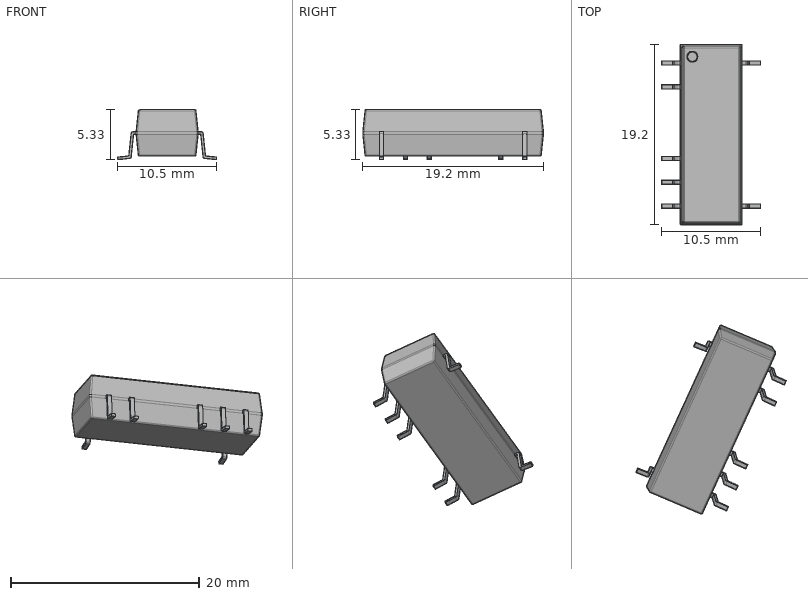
import cadquery as cq
import math

BODY_LENGTH = 19.18
BODY_WIDTH = 6.6
BODY_TOP = 5.33
BODY_BOTTOM = 0.38
DRAFT_ANGLE = 6.0
EDGE_RADIUS = 0.15
BEVEL_SIZE = 0.15

LEAD_THICKNESS = 0.29
LEAD_WIDTH = 0.46
LEAD_TOP = 2.97
LEAD_SPAN = 10.53
LEAD_TILT = 6.0
FOOT_LENGTH = 1.19
BEND_RADIUS = 0.21
LEAD_EMBED = 0.38
LEAD_PITCH = 2.53
LEFT_LEAD_STEPS = (-3, -2, -1, 2, 3)
RIGHT_LEAD_STEPS = (-3, 3)

MARK_X = -2.0
MARK_Y = 8.27
MARK_RADIUS = 0.58
MARK_FLOOR_RADIUS = 0.5
MARK_DEPTH = 0.08

LEAD_BOTTOM = LEAD_TOP - LEAD_THICKNESS


def body_slab(base_z, height, taper):
    """Plain rectangle extruded from base_z; negative height goes down."""
    base = cq.Workplane("XY", origin=(0, 0, base_z)).rect(BODY_WIDTH, BODY_LENGTH)
    return base.extrude(height, taper=taper)


def make_body():
    upper = body_slab(LEAD_TOP, BODY_TOP - LEAD_TOP, DRAFT_ANGLE)
    upper = upper.edges(">Z and |Y").edges("<X").chamfer(BEVEL_SIZE)
    right_rim = upper.edges(">Z and |Y").edges(">X")
    upper = upper.edges("(not <Z) and (not |Y)").add(right_rim).fillet(EDGE_RADIUS)
    lower = body_slab(LEAD_BOTTOM, BODY_BOTTOM - LEAD_BOTTOM, DRAFT_ANGLE)
    lower = lower.edges("not >Z").fillet(EDGE_RADIUS)
    band = body_slab(LEAD_BOTTOM, LEAD_THICKNESS, 0).edges("|Z").fillet(EDGE_RADIUS)
    return upper.union(band).union(lower)


def make_lead():
    """Lead on the +X side, centred on Y = 0, with the foot's toe at Z = 0."""
    tilt = math.radians(LEAD_TILT)
    sine = math.sin(tilt)
    cosine = math.cos(tilt)
    toe_top = (LEAD_SPAN / 2, LEAD_THICKNESS * cosine)
    toe_bottom = (LEAD_SPAN / 2 - LEAD_THICKNESS * sine, 0)
    ankle = (toe_top[0] - FOOT_LENGTH * cosine, toe_top[1] + FOOT_LENGTH * sine)
    mitre_offset = LEAD_THICKNESS / (cosine + sine)
    heel = (ankle[0] - mitre_offset, ankle[1] - mitre_offset)
    shoulder_outer_x = ankle[0] - (LEAD_TOP - ankle[1]) * math.tan(tilt)
    shoulder_inner_x = heel[0] - (LEAD_BOTTOM - heel[1]) * math.tan(tilt)
    root_x = BODY_WIDTH / 2 - LEAD_EMBED
    profile = [
        (root_x, LEAD_TOP),
        (shoulder_outer_x, LEAD_TOP),
        ankle,
        toe_top,
        toe_bottom,
        heel,
        (shoulder_inner_x, LEAD_BOTTOM),
        (root_x, LEAD_BOTTOM),
    ]
    lead = cq.Workplane("XZ").polyline(profile).close().extrude(LEAD_WIDTH / 2, both=True)
    for x, z in ((shoulder_outer_x, LEAD_TOP), heel):
        lead = lead.edges(cq.NearestToPointSelector((x, 0, z))).fillet(BEND_RADIUS)
    return lead


def cut_pin_one_mark(body):
    mark = (
        cq.Workplane("XY", origin=(MARK_X, MARK_Y, BODY_TOP))
        .circle(MARK_RADIUS)
        .workplane(offset=-MARK_DEPTH)
        .circle(MARK_FLOOR_RADIUS)
        .loft(ruled=True)
    )
    return body.cut(mark)


result = cut_pin_one_mark(make_body())
right_lead = make_lead()
left_lead = right_lead.mirror("YZ")
for lead, steps in ((left_lead, LEFT_LEAD_STEPS), (right_lead, RIGHT_LEAD_STEPS)):
    for step in steps:
        result = result.union(lead.translate((0, step * LEAD_PITCH, 0)))